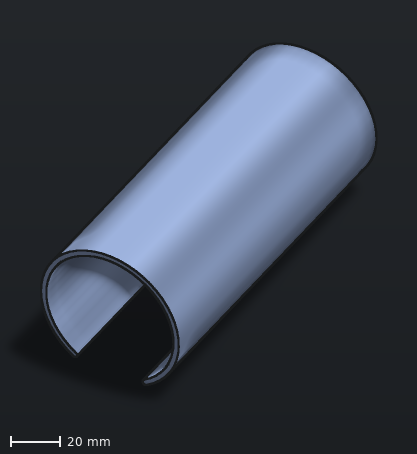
import cadquery as cq
import math

length = 152.4
outer_radius = 32.8
wall = 2.6
lip_half_angle = 32.3

inner_radius = outer_radius - wall
middle_radius = outer_radius - wall / 2
tip_radius = wall / 2


def polar(radius, angle):
    """Point at an angle in degrees measured from straight down, towards +X."""
    a = math.radians(angle)
    return radius * math.sin(a), -radius * math.cos(a)


def lip_end(side):
    """Outermost point of a rounded lip, on the +X (1) or -X (-1) side."""
    x, z = polar(middle_radius, side * lip_half_angle)
    tangent = math.radians(lip_half_angle)
    return x - side * tip_radius * math.cos(tangent), z - tip_radius * math.sin(tangent)


section = (
    cq.Workplane("XZ")
    .moveTo(*polar(outer_radius, lip_half_angle))
    .threePointArc((0, outer_radius), polar(outer_radius, -lip_half_angle))
    .threePointArc(lip_end(-1), polar(inner_radius, -lip_half_angle))
    .threePointArc((0, inner_radius), polar(inner_radius, lip_half_angle))
    .threePointArc(lip_end(1), polar(outer_radius, lip_half_angle))
    .close()
)

result = section.extrude(length / 2, both=True)